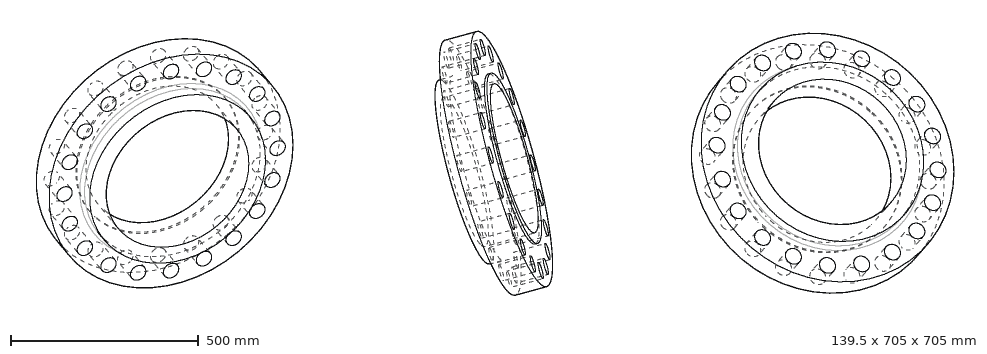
import cadquery as cq

total_length = 139.5
flange_diameter = 705.0
flange_thickness = 88.0
raised_face_diameter = 470.0
raised_face_height = 7.0
hub_diameter = 508.0
hub_fillet_radius = 10.0
bore_diameter = 411.5
bolt_circle_diameter = 615.0
bolt_hole_diameter = 44.5
bolt_hole_count = 20

flange_back = raised_face_height + flange_thickness


def disc(start, end, diameter):
    """Solid cylinder along X between two stations."""
    return cq.Workplane("YZ", origin=(start, 0, 0)).circle(diameter / 2).extrude(end - start)


body = disc(0, total_length, raised_face_diameter)
body = body.union(disc(raised_face_height, flange_back, flange_diameter))
body = body.union(disc(flange_back, total_length, hub_diameter))

edge_search_margin = 1.0
back_plane_edges = cq.selectors.BoxSelector(
    (flange_back - edge_search_margin, -flange_diameter, -flange_diameter),
    (flange_back + edge_search_margin, flange_diameter, flange_diameter),
)
smallest_radius = cq.selectors.RadiusNthSelector(0)
body = body.edges(back_plane_edges).edges(smallest_radius).fillet(hub_fillet_radius)

bore = disc(0, total_length, bore_diameter)
bolt_holes = (
    cq.Workplane("YZ")
    .polarArray(bolt_circle_diameter / 2, 0, 360, bolt_hole_count)
    .circle(bolt_hole_diameter / 2)
    .extrude(total_length)
)

result = body.cut(bore).cut(bolt_holes)